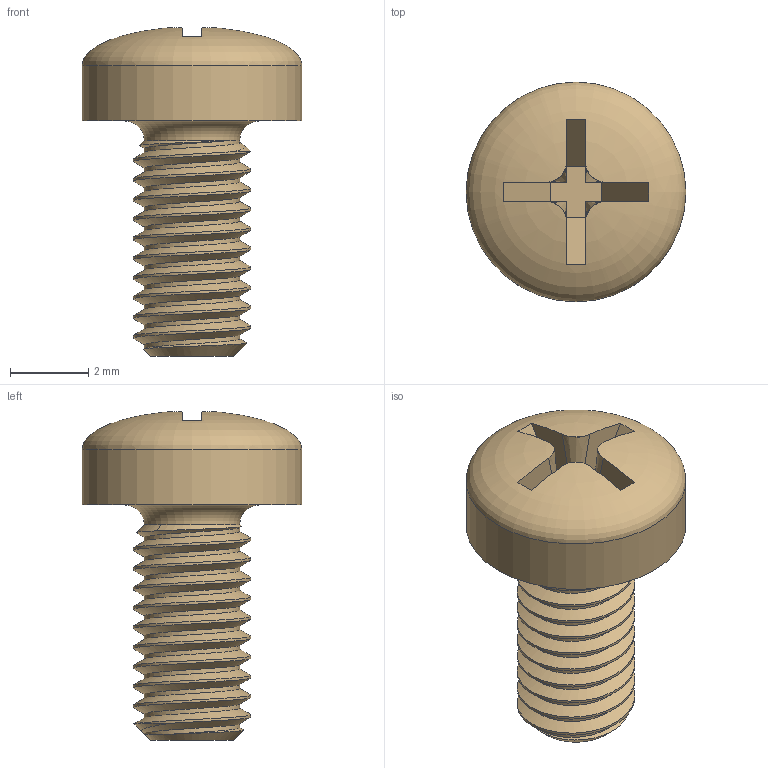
import cadquery as cq
import math


head_radius = 2.8
head_height = 2.4
rim_height = 1.41

shank_length = 6.0
core_radius = 1.2165
neck_fillet = 0.5
tip_radius = 1.06

thread_radius = 1.5
pitch = 0.5
crest_width = pitch / 8
flank_half_angle = math.radians(30)
thread_top = -neck_fillet
crest_phase = pitch / 2
overlap = 0.05
trim_margin = 2 * overlap
trim_length = 3 * pitch
trim_seam_angle = 140

slot_width = 0.495
recess_span = 3.7
floor_span = 1.288
floor_z = 0.0
corner_radius = 0.5
floor_corner_radius = 0.01


def dome_z(radius):
    """Height of the elliptical dome surface at a given distance from the axis."""
    return rim_height + (head_height - rim_height) * math.sqrt(1 - (radius / head_radius) ** 2)


def make_body():
    """Head, neck fillet and thread core, revolved from one half profile."""
    middle = math.sqrt(0.5)
    neck_radius = core_radius + neck_fillet
    neck_middle = neck_fillet * (1 - middle)
    profile = (
        cq.Workplane("XZ")
        .moveTo(0, -shank_length)
        .lineTo(tip_radius, -shank_length)
        .lineTo(core_radius, -shank_length + core_radius - tip_radius)
        .lineTo(core_radius, -neck_fillet)
        .threePointArc((core_radius + neck_middle, -neck_middle), (neck_radius, 0))
        .lineTo(head_radius, 0)
        .lineTo(head_radius, rim_height)
        .ellipseArc(head_radius, head_height - rim_height, 0, 90, startAtCurrent=True)
        .close()
    )
    return profile.revolve(360, (0, 0, 0), (0, 1, 0))


def revolved(points):
    """Ring or solid of revolution about Z from a closed polygon of (radius, z) points."""
    return cq.Workplane("XZ").polyline(points).close().revolve(360, (0, 0, 0), (0, 1, 0))


def make_ridge():
    """Untrimmed helical ridge, running past both ends of the thread."""
    root_radius = core_radius - overlap
    crest_half = crest_width / 2
    root_half = crest_half + (thread_radius - root_radius) * math.tan(flank_half_angle)
    start_z = -shank_length - pitch - crest_phase
    helix_height = thread_top + pitch - start_z
    helix = cq.Wire.makeHelix(pitch, helix_height, root_radius)
    section = (
        cq.Workplane("XZ")
        .polyline([
            (root_radius, -root_half),
            (thread_radius, -crest_half),
            (thread_radius, crest_half),
            (root_radius, root_half),
        ])
        .close()
    )
    return section.sweep(cq.Workplane(helix), isFrenet=True).translate((0, 0, start_z))


def make_thread():
    """Ridge trimmed by 45 degree cones below the neck and at the tip."""
    outside = thread_radius + trim_margin
    inside = core_radius - trim_margin
    above = thread_top + trim_length
    below = -shank_length - trim_length
    neck_trim = revolved([
        (inside, thread_top + core_radius - inside),
        (inside, above),
        (outside, above),
        (outside, thread_top + core_radius - outside),
    ]).rotate((0, 0, 0), (0, 0, 1), trim_seam_angle)
    tip_trim = revolved([
        (0, -shank_length),
        (tip_radius, -shank_length),
        (outside, -shank_length + outside - tip_radius),
        (outside, below),
        (0, below),
    ])
    return make_ridge().cut(neck_trim).cut(tip_trim)


def make_recess():
    """Two crossed slots with sloping ends, and corners that round off towards the top."""
    half_floor = floor_span / 2
    half_top = recess_span / 2
    slope = (half_top - half_floor) / (dome_z(half_top) - floor_z)
    half_mouth = half_floor + slope * (head_height - floor_z)
    slot = (
        cq.Workplane("XZ")
        .polyline([
            (-half_floor, floor_z),
            (half_floor, floor_z),
            (half_mouth, head_height),
            (-half_mouth, head_height),
        ])
        .close()
        .extrude(slot_width / 2, both=True)
    )
    recess = slot.union(slot.rotate((0, 0, 0), (0, 0, 1), 90))
    corner = make_recess_corner()
    for quarter in range(4):
        recess = recess.union(corner.rotate((0, 0, 0), (0, 0, 1), 90 * quarter))
    return recess


def corner_outline(plane, radius):
    """Corner between two slots, closed by an arc tangent to both slot sides."""
    inner = slot_width / 2
    outer = inner + radius
    arc_middle = outer - radius * math.sqrt(0.5)
    return (
        plane
        .moveTo(0, 0)
        .lineTo(outer, 0)
        .lineTo(outer, inner)
        .threePointArc((arc_middle, arc_middle), (inner, outer))
        .lineTo(0, outer)
        .close()
    )


def make_recess_corner():
    """Conical corner, nearly sharp at the recess floor and widest at the head top."""
    floor = corner_outline(cq.Workplane("XY", origin=(0, 0, floor_z)), floor_corner_radius)
    top = floor.workplane(offset=head_height - floor_z)
    return corner_outline(top, corner_radius).loft(ruled=True)


result = make_body().union(make_thread()).cut(make_recess())